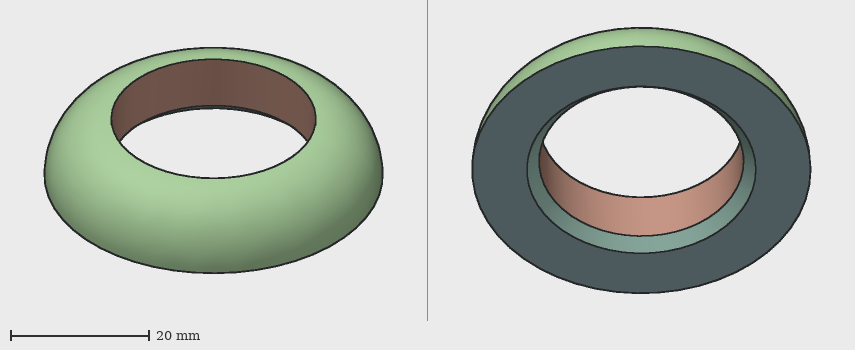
import cadquery as cq
import math

outer_radius = 24.5
height = 10.0
bore_radius = 14.8
bore_chamfer = 1.75

arc_radius = height
arc_centre_radius = outer_radius - arc_radius


def arc_height(radius):
    """Height of the rounded outside at a given distance from the axis."""
    return math.sqrt(arc_radius**2 - (radius - arc_centre_radius) ** 2)


arc_middle_radius = (bore_radius + outer_radius) / 2

section = (
    cq.Workplane("XZ")
    .moveTo(bore_radius + bore_chamfer, 0)
    .lineTo(outer_radius, 0)
    .threePointArc(
        (arc_middle_radius, arc_height(arc_middle_radius)),
        (bore_radius, arc_height(bore_radius)),
    )
    .lineTo(bore_radius, bore_chamfer)
    .close()
)

result = section.revolve(360, (0, 0, 0), (0, 1, 0))